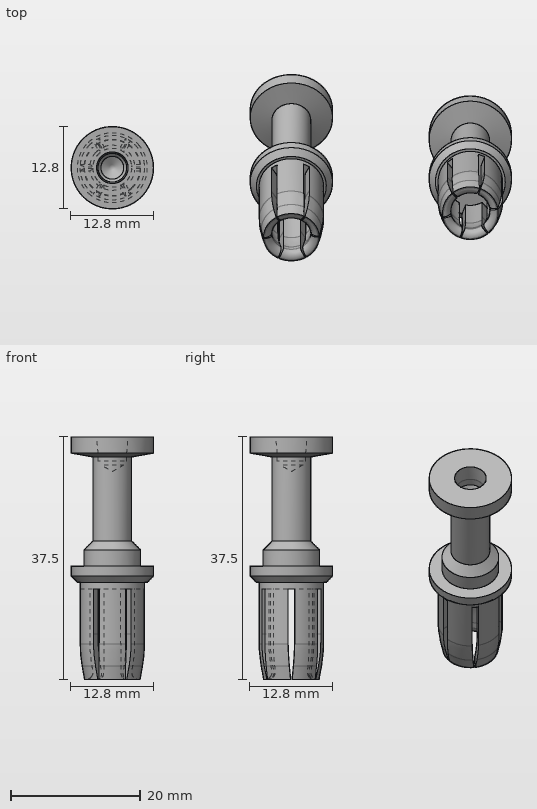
import cadquery as cq
import math

TOTAL_HEIGHT = 37.5
HEAD_RIM_BOTTOM = 35.0
HEAD_CONE_BOTTOM = 34.4
COLLAR_CONE_TOP = 21.4
COLLAR_CONE_BOTTOM = 20.02
FLANGE_TOP = 17.5
FLANGE_RIM_BOTTOM = 16.0
FLANGE_BOTTOM = 15.0
SLEEVE_TAPER_START = 5.5
SLEEVE_CONE_TOP = 2.05

FLANGE_RADIUS = 6.38
FLANGE_FOOT_RADIUS = 5.4
STEM_RADIUS = 3.0
COLLAR_RADIUS = 4.4
SLEEVE_RADIUS = 5.0
SLEEVE_CONE_ANGLE = math.radians(10.3)
SLEEVE_CURVE_RADIUS = (SLEEVE_TAPER_START - SLEEVE_CONE_TOP) / math.sin(SLEEVE_CONE_ANGLE)

SLEEVE_BORE_RADIUS = 3.5
LIP_RADIUS = 1.12
SLOT_COUNT = 6
SLOT_WIDTH = 1.0
SLOT_END_WIDTH = 0.2
SLOT_TOP = 14.0
SLOT_TAPER_START = 7.0

MOUTH_RADIUS = 2.45
HOLE_RADIUS = 2.2
MOUTH_DEPTH = 2.5
HOLE_STRAIGHT_DEPTH = 3.75
HOLE_TAPER_DEPTH = 4.3
HOLE_TIP_RADIUS = 1.75
DRILL_POINT_ANGLE = 118.0


def sleeve_curve_point(wall_radius, angle):
    """Point on the arc bending a straight sleeve wall inwards, by turned angle."""
    curve_center = SLEEVE_RADIUS - SLEEVE_CURVE_RADIUS
    curve_radius = wall_radius - curve_center
    return (
        curve_center + curve_radius * math.cos(angle),
        SLEEVE_TAPER_START - curve_radius * math.sin(angle),
    )


def sleeve_cone_radius(cone_top, height):
    """Radius at a height on the cone that continues below a sleeve arc."""
    return cone_top[0] - (cone_top[1] - height) * math.tan(SLEEVE_CONE_ANGLE)


def make_body():
    """Turned outside; the sleeve curves smoothly into a cone at its lower end."""
    cone_top = sleeve_curve_point(SLEEVE_RADIUS, SLEEVE_CONE_ANGLE)
    return (
        cq.Workplane("XZ")
        .moveTo(0, 0)
        .lineTo(sleeve_cone_radius(cone_top, 0), 0)
        .lineTo(*cone_top)
        .threePointArc(
            sleeve_curve_point(SLEEVE_RADIUS, SLEEVE_CONE_ANGLE / 2),
            sleeve_curve_point(SLEEVE_RADIUS, 0),
        )
        .lineTo(SLEEVE_RADIUS, FLANGE_BOTTOM)
        .lineTo(FLANGE_FOOT_RADIUS, FLANGE_BOTTOM)
        .lineTo(FLANGE_RADIUS, FLANGE_RIM_BOTTOM)
        .lineTo(FLANGE_RADIUS, FLANGE_TOP)
        .lineTo(COLLAR_RADIUS, FLANGE_TOP)
        .lineTo(COLLAR_RADIUS, COLLAR_CONE_BOTTOM)
        .lineTo(STEM_RADIUS, COLLAR_CONE_TOP)
        .lineTo(STEM_RADIUS, HEAD_CONE_BOTTOM)
        .lineTo(FLANGE_RADIUS, HEAD_RIM_BOTTOM)
        .lineTo(FLANGE_RADIUS, TOTAL_HEIGHT)
        .lineTo(0, TOTAL_HEIGHT)
        .close()
        .revolve(360, (0, 0, 0), (0, 1, 0))
    )


def make_sleeve_bore():
    """Bore that follows the outside of the sleeve and ends in a rounded lip."""
    cone_top = sleeve_curve_point(SLEEVE_BORE_RADIUS, SLEEVE_CONE_ANGLE)
    lip_wall_radius = sleeve_cone_radius(cone_top, LIP_RADIUS)
    lip_center_radius = lip_wall_radius + LIP_RADIUS / math.cos(SLEEVE_CONE_ANGLE)
    lip_end_angle = math.pi / 2 + SLEEVE_CONE_ANGLE

    def lip_point(angle):
        """Point on the lip arc, by angle above its lowest point."""
        radius = lip_center_radius - LIP_RADIUS * math.sin(angle)
        return (radius, LIP_RADIUS * (1 - math.cos(angle)))

    return (
        cq.Workplane("XZ")
        .moveTo(0, 0)
        .lineTo(*lip_point(0))
        .threePointArc(lip_point(lip_end_angle / 2), lip_point(lip_end_angle))
        .lineTo(*cone_top)
        .threePointArc(
            sleeve_curve_point(SLEEVE_BORE_RADIUS, SLEEVE_CONE_ANGLE / 2),
            sleeve_curve_point(SLEEVE_BORE_RADIUS, 0),
        )
        .lineTo(SLEEVE_BORE_RADIUS, SLOT_TOP)
        .lineTo(0, SLOT_TOP)
        .close()
        .revolve(360, (0, 0, 0), (0, 1, 0))
    )


def make_head_hole():
    """Blind hole with a flared mouth, a straight stretch, a short taper and a drill point."""
    point_height = HOLE_TIP_RADIUS / math.tan(math.radians(DRILL_POINT_ANGLE / 2))
    taper_end = TOTAL_HEIGHT - HOLE_TAPER_DEPTH
    return (
        cq.Workplane("XZ")
        .moveTo(0, TOTAL_HEIGHT)
        .lineTo(MOUTH_RADIUS, TOTAL_HEIGHT)
        .lineTo(HOLE_RADIUS, TOTAL_HEIGHT - MOUTH_DEPTH)
        .lineTo(HOLE_RADIUS, TOTAL_HEIGHT - HOLE_STRAIGHT_DEPTH)
        .lineTo(HOLE_TIP_RADIUS, taper_end)
        .lineTo(0, taper_end - point_height)
        .close()
        .revolve(360, (0, 0, 0), (0, 1, 0))
    )


def make_slot():
    """Slot through the +X wall; its sides close along arcs towards the lower end."""
    half_width = SLOT_WIDTH / 2
    end_half_width = SLOT_END_WIDTH / 2
    closing = half_width - end_half_width
    side_radius = (SLOT_TAPER_START**2 + closing**2) / (2 * closing)
    mid_angle = math.asin(SLOT_TAPER_START / side_radius) / 2
    mid_half_width = half_width - side_radius * (1 - math.cos(mid_angle))
    mid_height = SLOT_TAPER_START - side_radius * math.sin(mid_angle)
    return (
        cq.Workplane("YZ")
        .moveTo(-half_width, SLOT_TOP)
        .lineTo(half_width, SLOT_TOP)
        .lineTo(half_width, SLOT_TAPER_START)
        .threePointArc((mid_half_width, mid_height), (end_half_width, 0))
        .lineTo(-end_half_width, 0)
        .threePointArc((-mid_half_width, mid_height), (-half_width, SLOT_TAPER_START))
        .close()
        .extrude(FLANGE_RADIUS)
    )


result = make_body().cut(make_head_hole()).cut(make_sleeve_bore())

for i in range(SLOT_COUNT):
    result = result.cut(make_slot().rotate((0, 0, 0), (0, 0, 1), i * 360 / SLOT_COUNT))